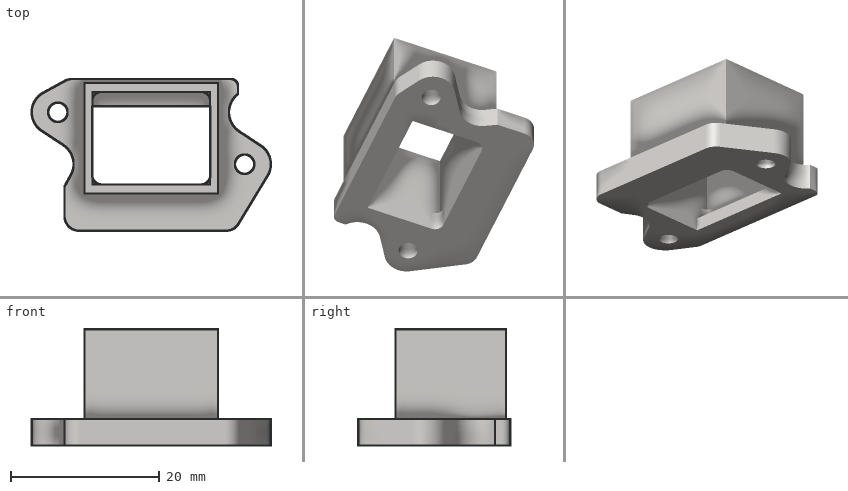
import cadquery as cq
import math

length = 32.3
depth = 20.5
plate_thickness = 3.6
total_height = 15.7
front_y = -depth / 2
back_y = depth / 2
side_x = 11.72
front_right_corner_x = 11.2
back_left_corner_x = -11.18
left_edge_top_y = -4.25
corner_radius = 2.0
back_right_radius = 1.0

ear_radius = 3.0
ear_x = length / 2 - ear_radius
notch_radius = 3.1
notch_x = 13.6
left_ear_y = 5.75
right_ear_y = -1.25
hole_x = 12.6
hole_diameter = 2.6

tube_length = 18.02
tube_depth = 14.92
tube_center_y = 2.23
opening_length = 15.9
opening_depth = 12.47
opening_center_y = 2.25
opening_corner_radius = 1.2
ledge_depth = 1.95
ledge_height = plate_thickness / 2


def tangent(start, start_radius, end, end_radius):
    """Ends of the line tangent to two circles: radius > 0 turns left, < 0 right, 0 is a point."""
    dx = end[0] - start[0]
    dy = end[1] - start[1]
    heading = math.atan2(dy, dx) + math.asin((start_radius - end_radius) / math.hypot(dx, dy))
    normal = (math.sin(heading), -math.cos(heading))
    return [
        (center[0] + radius * normal[0], center[1] + radius * normal[1])
        for center, radius in ((start, start_radius), (end, end_radius))
    ]


def box(size_x, size_y, center_y, bottom, top):
    solid = cq.Workplane("XY", origin=(0, center_y, bottom))
    return solid.rect(size_x, size_y).extrude(top - bottom)


def make_plate():
    front_left = (-side_x, front_y)
    front_right = (front_right_corner_x, front_y)
    back_right = (side_x, back_y)
    back_left = (back_left_corner_x, back_y)
    left_edge_top = (-side_x, left_edge_top_y)
    right_ear = (ear_x, right_ear_y)
    left_ear = (-ear_x, left_ear_y)
    right_notch = (notch_x, left_ear_y)
    left_notch = (-notch_x, right_ear_y)

    _, right_ear_start = tangent(front_right, 0, right_ear, ear_radius)
    right_ear_end, right_notch_start = tangent(right_ear, ear_radius, right_notch, -notch_radius)
    notch_rise = math.sqrt(notch_radius**2 - (notch_x - side_x) ** 2)
    right_notch_end = (side_x, left_ear_y + notch_rise)
    _, left_ear_start = tangent(back_left, 0, left_ear, ear_radius)
    left_ear_end, left_notch_start = tangent(left_ear, ear_radius, left_notch, -notch_radius)
    left_notch_end, _ = tangent(left_notch, -notch_radius, left_edge_top, 0)

    plate = (
        cq.Workplane("XY")
        .moveTo(*front_left)
        .lineTo(*front_right)
        .lineTo(*right_ear_start)
        .threePointArc((ear_x + ear_radius, right_ear_y), right_ear_end)
        .lineTo(*right_notch_start)
        .threePointArc((notch_x - notch_radius, left_ear_y), right_notch_end)
        .lineTo(*back_right)
        .lineTo(*back_left)
        .lineTo(*left_ear_start)
        .threePointArc((-ear_x - ear_radius, left_ear_y), left_ear_end)
        .lineTo(*left_notch_start)
        .threePointArc((notch_radius - notch_x, right_ear_y), left_notch_end)
        .lineTo(*left_edge_top)
        .close()
        .extrude(plate_thickness)
    )
    rounded_corners = (
        (front_left, corner_radius),
        (front_right, corner_radius),
        (back_left, corner_radius),
        (back_right, back_right_radius),
    )
    for (x, y), radius in rounded_corners:
        corner_edge = cq.selectors.NearestToPointSelector((x, y, plate_thickness / 2))
        plate = plate.edges("|Z").edges(corner_edge).fillet(radius)
    return plate


def make_plate_opening():
    opening = box(opening_length, opening_depth, opening_center_y, 0, plate_thickness)
    opening = opening.edges("|Z").fillet(opening_corner_radius)
    ledge_y = opening_center_y + (opening_depth - ledge_depth) / 2
    ledge = box(opening_length, ledge_depth, ledge_y, 0, ledge_height)
    return opening.cut(ledge)


def make_tube():
    outside = box(tube_length, tube_depth, tube_center_y, plate_thickness, total_height)
    inside = box(opening_length, opening_depth, opening_center_y, plate_thickness, total_height)
    return outside.cut(inside)


screw_holes = (
    cq.Workplane("XY")
    .pushPoints([(-hole_x, left_ear_y), (hole_x, right_ear_y)])
    .circle(hole_diameter / 2)
    .extrude(plate_thickness)
)

result = make_plate().cut(screw_holes).cut(make_plate_opening()).union(make_tube())